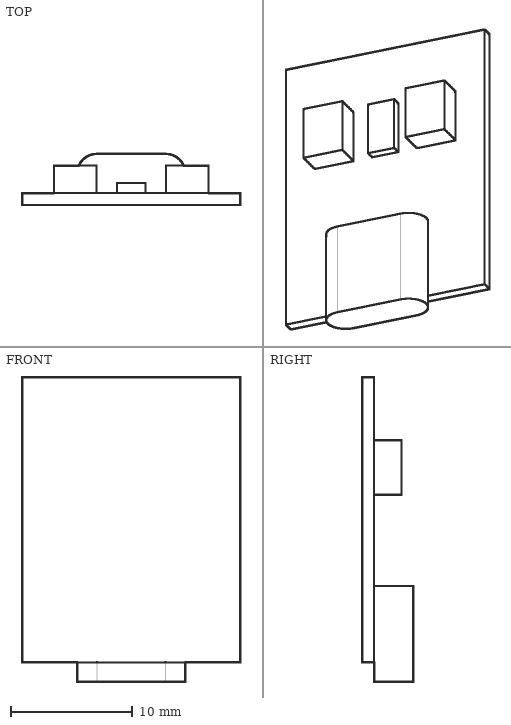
import cadquery as cq

board_width = 18.0
board_thickness = 1.0
total_height = 25.1

connector_width = 8.9
connector_depth = 3.25
connector_length = 7.9
connector_overhang = 1.6

row_top_drop = 5.2
row_height = 4.5
button_width = 3.51
button_depth = 2.25
button_gap = 5.72
middle_block_width = 2.35
middle_block_depth = 0.83

row_bottom = total_height - row_top_drop - row_height
button_offset = (button_gap + button_width) / 2


def upright_block(width, depth, height, x_center, y_front, z_bottom):
    """Block centred on x_center, growing back and up from its front lower edge."""
    block = cq.Workplane("XY").box(width, depth, height, centered=(True, False, False))
    return block.translate((x_center, y_front, z_bottom))


def component(width, depth, x_center):
    """Block in the component row, standing on the back face of the board."""
    return upright_block(width, depth, row_height, x_center, board_thickness, row_bottom)


board = upright_block(
    board_width, board_thickness, total_height - connector_overhang, 0, 0, connector_overhang
)

connector = (
    cq.Workplane("XY")
    .center(0, board_thickness + connector_depth / 2)
    .slot2D(connector_width, connector_depth)
    .extrude(connector_length)
)

result = board.union(connector)
for side in (-1, 1):
    result = result.union(component(button_width, button_depth, side * button_offset))
result = result.union(component(middle_block_width, middle_block_depth, 0))